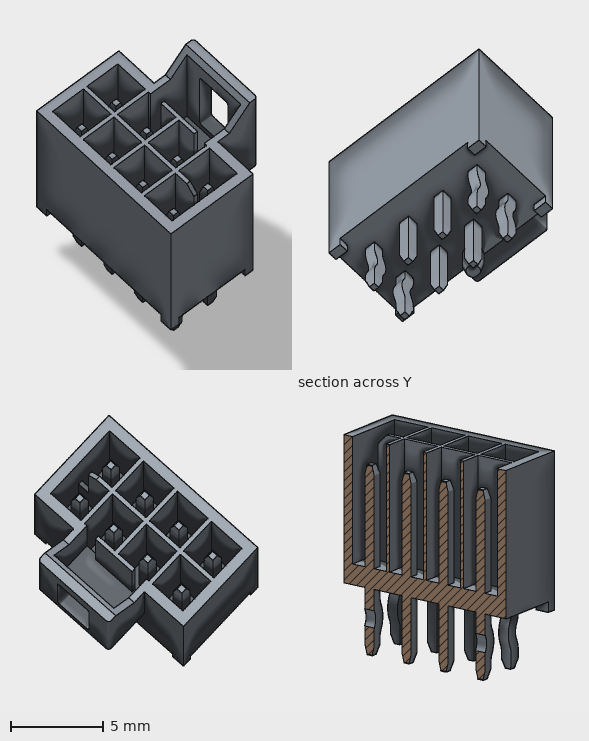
import cadquery as cq
import math

total_height = 13.71

housing_width = 10.94
housing_depth = 5.98
seat_z = 3.78
housing_top_z = 12.23
foot_height = 0.6
foot_width = 0.82
foot_depth = 0.58

columns = 4
rows = 2
pitch = 2.5
cell_size = 2.23
cell_floor_z = 4.99
divider = pitch - cell_size
cells_back_y = (housing_depth + (rows - 1) * pitch + cell_size) / 2
cells_right_x = ((columns - 1) * pitch + cell_size) / 2

part_depth = 8.84
tower_width = 5.21
tower_bottom_z = 7.24
tower_side_wall = 0.41
tower_back_wall = 0.85
tower_edge_radius = 0.2
ramp_size = total_height - housing_top_z
ramp_end_y = 6.8
pocket_floor_z = tower_bottom_z + tower_side_wall
pocket_width = tower_width - 2 * tower_side_wall
pocket_back_y = part_depth - tower_back_wall

window_width = 2.3
window_top_z = 12.4
window_bottom_z = pocket_floor_z + tower_side_wall
window_corner_radius = 0.2

screen_width = 2.7
screen_thickness = 0.25

key_ramp_start_x = 3.55
key_gap_left_x = 4.14

pin_size = 0.66
pin_tip_size = 0.35
pin_tip_length = 0.56
pin_top_z = 10.83

kink_center_z = 2.1
kink_shift = 0.26
kink_radius = 1.32

peg_diameter = 1.18
peg_tip_diameter = 0.8
peg_center_y = 5.62
peg_taper_z = 2.8
peg_bottom_z = 2.18


def centered_block(width, y_range, z_range):
    """Block that is symmetric about the middle plane, between the given Y and Z limits."""
    front_y, back_y = y_range
    bottom_z, top_z = z_range
    return (
        cq.Workplane("XY", origin=(0, front_y, bottom_z))
        .box(width, back_y - front_y, top_z - bottom_z, centered=(True, False, False))
    )


def make_housing():
    """Plain block standing on four corner feet."""
    foot_bottom_z = seat_z - foot_height
    body = centered_block(housing_width, (0, housing_depth), (foot_bottom_z, housing_top_z))
    gap_along_x = centered_block(
        housing_width - 2 * foot_width, (0, housing_depth), (foot_bottom_z, seat_z)
    )
    gap_along_y = centered_block(
        housing_width, (foot_depth, housing_depth - foot_depth), (foot_bottom_z, seat_z)
    )
    return body.cut(gap_along_x).cut(gap_along_y)


def make_tower():
    """Latch tower with a 45 degree ramp at its top and rounded outer edges."""
    tower = (
        cq.Workplane("YZ")
        .moveTo(housing_depth, tower_bottom_z)
        .lineTo(part_depth, tower_bottom_z)
        .lineTo(part_depth, total_height)
        .lineTo(ramp_end_y + ramp_size, total_height)
        .lineTo(ramp_end_y, housing_top_z)
        .lineTo(housing_depth, housing_top_z)
        .close()
        .extrude(tower_width / 2, both=True)
    )
    outer_edges = "(>Y and |Z) or (<Z and |Y) or (<Z and >Y)"
    return tower.edges(outer_edges).fillet(tower_edge_radius)


def make_pocket():
    """Hollow of the tower, open to the cells except behind the short screen wall."""
    pocket = centered_block(
        pocket_width, (cells_back_y, pocket_back_y), (pocket_floor_z, total_height)
    )
    screen = centered_block(
        screen_width,
        (cells_back_y, cells_back_y + screen_thickness),
        (pocket_floor_z, housing_top_z),
    )
    return pocket.cut(screen)


def make_window():
    """Opening with rounded corners through the back wall of the tower."""
    window = centered_block(
        window_width, (pocket_back_y, part_depth), (window_bottom_z, window_top_z)
    )
    return window.edges("|Y").fillet(window_corner_radius)


def make_cells():
    """Square cells, all open at the top."""
    return (
        cq.Workplane("XY", origin=(0, housing_depth / 2, cell_floor_z))
        .rarray(pitch, pitch, columns, rows)
        .rect(cell_size, cell_size)
        .extrude(housing_top_z - cell_floor_z)
    )


def make_key_gap():
    """Gap in the divider of the last column, with a 45 degree ramp on its inner side."""
    ramp_drop = key_gap_left_x - key_ramp_start_x
    return (
        cq.Workplane("XZ", origin=(0, housing_depth / 2, 0))
        .moveTo(key_ramp_start_x, housing_top_z)
        .lineTo(cells_right_x, housing_top_z)
        .lineTo(cells_right_x, pocket_floor_z)
        .lineTo(key_gap_left_x, pocket_floor_z)
        .lineTo(key_gap_left_x, housing_top_z - ramp_drop)
        .close()
        .extrude(divider / 2, both=True)
    )


def kink_face(offset):
    """Points (Y, Z), from top to bottom, of three tangent arcs on one face of a kinked pin."""
    angle = math.acos(1 - kink_shift / (2 * kink_radius))
    half_length = 2 * kink_radius * math.sin(angle)
    end_radius = kink_radius - offset
    middle_radius = kink_radius + offset
    upper_half = [
        (offset, half_length),
        (
            offset + end_radius * (1 - math.cos(angle / 2)),
            half_length - end_radius * math.sin(angle / 2),
        ),
        (
            offset + end_radius * (1 - math.cos(angle)),
            middle_radius * math.sin(angle),
        ),
    ]
    crest = (kink_shift + offset, 0)
    lower_half = [(y, -z) for y, z in reversed(upper_half)]
    points = upper_half + [crest] + lower_half
    return [(y, kink_center_z + z) for y, z in points]


def add_kink(outline, points):
    """Continue the outline to the first point, then along arcs through the others."""
    start, *arc_points = points
    outline = outline.lineTo(*start)
    for middle, end in zip(arc_points[::2], arc_points[1::2]):
        outline = outline.threePointArc(middle, end)
    return outline


def make_pin_shank(kinked):
    """Square shank along Z; a kinked one bulges towards +Y below the housing."""
    half = pin_size / 2
    shank_top_z = pin_top_z - pin_tip_length
    outline = cq.Workplane("YZ").moveTo(half, shank_top_z)
    if kinked:
        outline = add_kink(outline, kink_face(half))
    outline = outline.lineTo(half, pin_tip_length).lineTo(-half, pin_tip_length)
    if kinked:
        outline = add_kink(outline, reversed(kink_face(-half)))
    return outline.lineTo(-half, shank_top_z).close().extrude(half, both=True)


def make_pin_tip(base_z, direction):
    """Tapered square tip that starts at base_z and points up (1) or down (-1)."""
    return (
        cq.Workplane("XY", origin=(0, 0, base_z))
        .rect(pin_size, pin_size)
        .workplane(offset=direction * pin_tip_length)
        .rect(pin_tip_size, pin_tip_size)
        .loft()
    )


def make_pin(kinked):
    """Shank with a tapered tip at both ends."""
    return (
        make_pin_shank(kinked)
        .union(make_pin_tip(pin_top_z - pin_tip_length, 1))
        .union(make_pin_tip(pin_tip_length, -1))
    )


def make_peg():
    """Round peg with a tapered end, cut flush with the back face of the housing."""
    peg = (
        cq.Workplane("XY", origin=(0, peg_center_y, seat_z))
        .circle(peg_diameter / 2)
        .extrude(peg_taper_z - seat_z)
    )
    taper = (
        cq.Workplane("XY", origin=(0, peg_center_y, peg_taper_z))
        .circle(peg_diameter / 2)
        .workplane(offset=peg_bottom_z - peg_taper_z)
        .circle(peg_tip_diameter / 2)
        .loft()
    )
    behind_housing = centered_block(
        housing_width, (housing_depth, part_depth), (peg_bottom_z, seat_z)
    )
    return peg.union(taper).cut(behind_housing)


result = make_housing().union(make_tower()).union(make_peg())
for hollow in (make_cells(), make_pocket(), make_window(), make_key_gap()):
    result = result.cut(hollow)

for column in range(columns):
    pin_x = (column - (columns - 1) / 2) * pitch
    pin = make_pin(kinked=column in (0, columns - 1))
    front_pin = pin.translate((pin_x, (housing_depth - pitch) / 2, 0))
    back_pin = front_pin.mirror("XZ", (0, housing_depth / 2, 0))
    result = result.union(front_pin).union(back_pin)